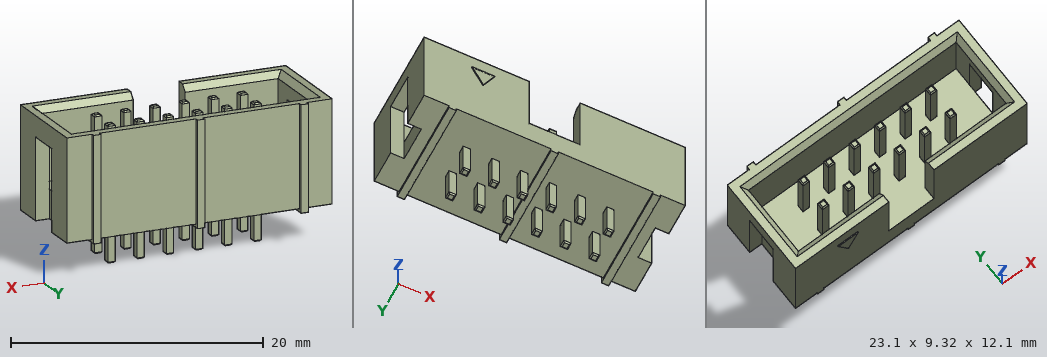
import cadquery as cq

body_length = 23.05
body_width = 8.9
body_height = 8.8
overall_height = 12.1
wall = 1.2
cavity_depth = 6.31
floor_z = body_height - cavity_depth

mouth_bevel_width = 0.48
mouth_bevel_height = 0.55

key_notch_width = 4.5

end_slot_width = 3.05
end_slot_top = body_height - 1.8

rib_spacing = 9.0
rib_width = 0.65
rib_below = 0.28
rib_behind = 0.32

mark_size = 2.0
mark_height = 0.1
mark_top = body_height - 1.6

pin_columns = 6
pin_rows = 2
pin_pitch = 2.53
pin_size = 0.65
pin_top = body_height - 0.5
pin_bottom = body_height - overall_height
pin_taper = 0.12

first_pin_x = -(pin_columns - 1) * pin_pitch / 2
front_y = -body_width / 2


def box(x_size, y_size, z_low, z_high, x=0, y=0):
    """Box centred on (x, y), spanning z_low to z_high."""
    blank = cq.Workplane("XY").box(x_size, y_size, z_high - z_low, centered=(True, True, False))
    return blank.translate((x, y, z_low))


def make_cavity():
    length = body_length - 2 * wall
    width = body_width - 2 * wall
    straight = box(length, width, floor_z, body_height)
    mouth = (
        cq.Workplane("XY", origin=(0, 0, body_height - mouth_bevel_height))
        .rect(length, width)
        .workplane(offset=mouth_bevel_height)
        .rect(length + 2 * mouth_bevel_width, width + 2 * mouth_bevel_width)
        .loft(ruled=True)
    )
    return straight.union(mouth)


def make_housing():
    housing = box(body_length, body_width, 0, body_height).cut(make_cavity())
    key_notch = box(key_notch_width, wall, floor_z, body_height, y=front_y + wall / 2)
    housing = housing.cut(key_notch)
    for side in (-1, 1):
        end_slot_x = side * (body_length - wall) / 2
        housing = housing.cut(box(wall, end_slot_width, 0, end_slot_top, x=end_slot_x))
    return housing


def make_rib(x):
    """L-shaped rib: the housing fills the inside corner of the L."""
    outline = box(rib_width, body_width + rib_behind, -rib_below, body_height, x=x, y=rib_behind / 2)
    return outline.cut(box(rib_width, body_width, 0, body_height, x=x))


def make_mark():
    """Triangle standing out of the front face, pointing down at the first pin."""
    return (
        cq.Workplane("XZ", origin=(first_pin_x, front_y, mark_top))
        .moveTo(-mark_size / 2, 0)
        .lineTo(mark_size / 2, 0)
        .lineTo(0, -mark_size)
        .close()
        .extrude(mark_height)
    )


def make_pin(x, y):
    post = box(pin_size, pin_size, pin_bottom, pin_top, x=x, y=y)
    return post.faces("<Z or >Z").chamfer(pin_taper)


result = make_housing().union(make_mark())
for rib_x in (-rib_spacing, 0, rib_spacing):
    result = result.union(make_rib(rib_x))
for column in range(pin_columns):
    for row in range(pin_rows):
        pin_y = (row - (pin_rows - 1) / 2) * pin_pitch
        result = result.union(make_pin(first_pin_x + column * pin_pitch, pin_y))